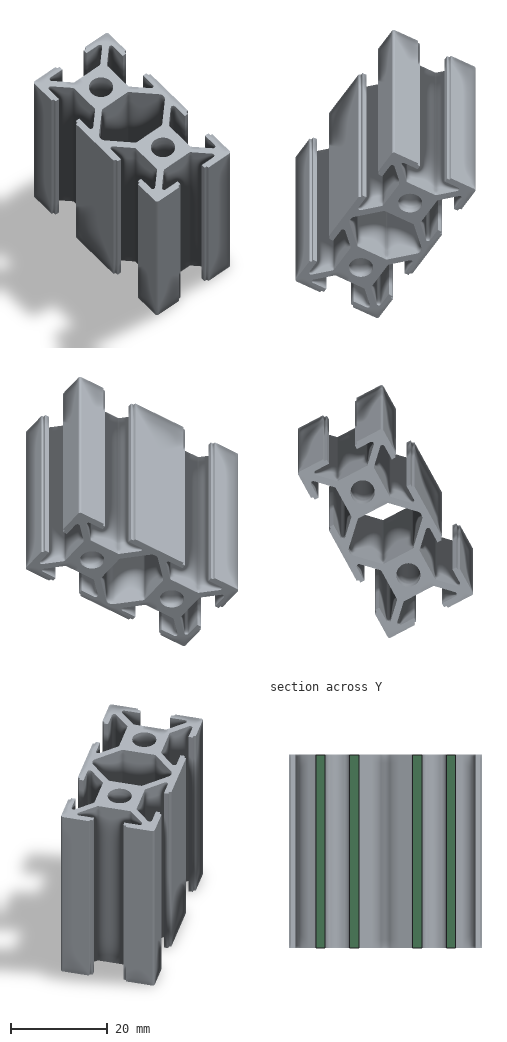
import cadquery as cq
import math

cell = 20.0
length = 40.0
corner_radius = 0.5

step_outer_width = 7.9
step_floor_width = 7.65
step_depth = 0.5
mouth_outer_width = 6.55
mouth_inner_width = 6.5
lip_thickness = 1.4
pocket_radius = 0.5

core_width = 9.0
web_thickness = 1.4
root_radius = 0.5

bore_diameter = 5.0
cavity_height = 16.9
crest_radius = 1.15

half_cell = cell / 2
core_half = core_width / 2
web_shift = web_thickness / math.sqrt(2)
root_half = core_half - web_shift


def prism(points):
    return cq.Workplane("XY").polyline(points).close().extrude(length)


def trapezoid(lower_width, lower_y, upper_width, upper_y):
    """Full-length prism, symmetric about X = 0, tapering from one Y level to another."""
    return prism([
        (-lower_width / 2, lower_y),
        (lower_width / 2, lower_y),
        (upper_width / 2, upper_y),
        (-upper_width / 2, upper_y),
    ])


def slot_cutter():
    """T-slot on the +Y side of a cell centred on the origin."""
    pocket_top = half_cell - lip_thickness
    pocket_half = pocket_top - web_shift
    step_floor = half_cell - step_depth

    pocket = trapezoid(2 * root_half, core_half, 2 * pocket_half, pocket_top)
    pocket = pocket.edges("|Z and >Y").fillet(pocket_radius)
    pocket = pocket.edges("|Z and <Y").fillet(root_radius)

    mouth = trapezoid(mouth_inner_width, pocket_top, mouth_outer_width, step_floor)
    step = trapezoid(step_floor_width, step_floor, step_outer_width, half_cell)
    return pocket.union(mouth).union(step)


def cavity_cutter():
    """Eight-sided opening between the two cores, bounded by their inner webs."""
    side_x = half_cell - core_half
    crest_y = cavity_height / 2
    crest_x = half_cell - web_shift - crest_y
    cavity = prism([
        (side_x, -root_half),
        (side_x, root_half),
        (crest_x, crest_y),
        (-crest_x, crest_y),
        (-side_x, root_half),
        (-side_x, -root_half),
        (-crest_x, -crest_y),
        (crest_x, -crest_y),
    ])
    cavity = cavity.edges("|Z and (>Y or <Y)").fillet(crest_radius)
    return cavity.edges("|Z and (>X or <X)").fillet(root_radius)


result = cq.Workplane("XY").box(2 * cell, cell, length, centered=(True, True, False))
result = result.edges("|Z").fillet(corner_radius)

slot = slot_cutter()
for side in (-1, 1):
    cell_x = side * half_cell
    for angle in (0, 180, -90 * side):
        turned_slot = slot.rotate((0, 0, 0), (0, 0, 1), angle)
        result = result.cut(turned_slot.translate((cell_x, 0, 0)))
    bore = cq.Workplane("XY").center(cell_x, 0).circle(bore_diameter / 2).extrude(length)
    result = result.cut(bore)

result = result.cut(cavity_cutter())